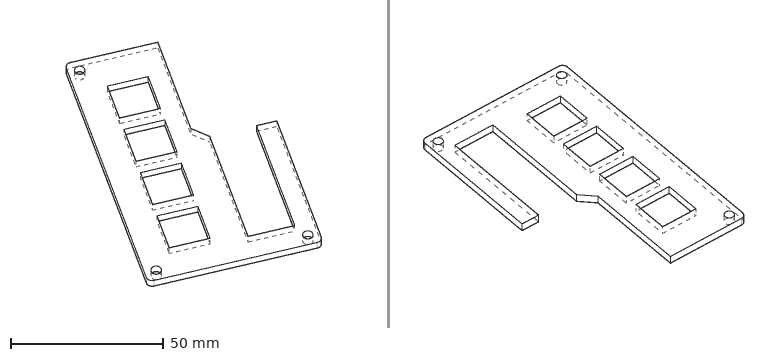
import cadquery as cq

PLATE_LENGTH = 96.0
PLATE_WIDTH = 60.0
PLATE_THICKNESS = 3.0
CORNER_RADIUS = 2.0

SHOULDER_Y = 32.0
RAMP_SIZE = 5.0
ARM_WIDTH = 7.0
ARM_END_X = 43.0
SPINE_WIDTH = 9.0

WINDOW_COUNT = 4
WINDOW_SIZE = 14.0
WINDOW_PITCH = 19.05
FIRST_WINDOW_X = 20.05
WINDOW_ROW_Y = 17.8

HOLE_DIAMETER = 3.4
HOLE_INSET = 4.0


def make_plate():
    """Plate outline with the cutaway, extruded and rounded at its three full corners."""
    ledge_y = SHOULDER_Y + RAMP_SIZE
    arm_y = PLATE_WIDTH - ARM_WIDTH
    spine_x = PLATE_LENGTH - SPINE_WIDTH
    outline = [
        (0, 0),
        (PLATE_LENGTH, 0),
        (PLATE_LENGTH, PLATE_WIDTH),
        (ARM_END_X, PLATE_WIDTH),
        (ARM_END_X, arm_y),
        (spine_x, arm_y),
        (spine_x, ledge_y),
        (ARM_END_X, ledge_y),
        (ARM_END_X - RAMP_SIZE, SHOULDER_Y),
        (0, SHOULDER_Y),
    ]
    plate = cq.Workplane("XY").polyline(outline).close().extrude(PLATE_THICKNESS)
    bottom_corners = plate.edges("|Z").edges("<Y")
    top_right_corner = plate.edges("|Z").edges(">Y").edges(">X")
    return plate.newObject(bottom_corners.vals() + top_right_corner.vals()).fillet(CORNER_RADIUS)


def make_windows():
    """Square through-cutters in a row along X."""
    centers = [(FIRST_WINDOW_X + i * WINDOW_PITCH, WINDOW_ROW_Y) for i in range(WINDOW_COUNT)]
    return cq.Workplane("XY").pushPoints(centers).rect(WINDOW_SIZE, WINDOW_SIZE).extrude(PLATE_THICKNESS)


def make_holes():
    """Round through-cutters at the three rounded corners."""
    right_x = PLATE_LENGTH - HOLE_INSET
    centers = [
        (HOLE_INSET, HOLE_INSET),
        (right_x, HOLE_INSET),
        (right_x, PLATE_WIDTH - HOLE_INSET),
    ]
    return cq.Workplane("XY").pushPoints(centers).circle(HOLE_DIAMETER / 2).extrude(PLATE_THICKNESS)


result = make_plate().cut(make_windows()).cut(make_holes())